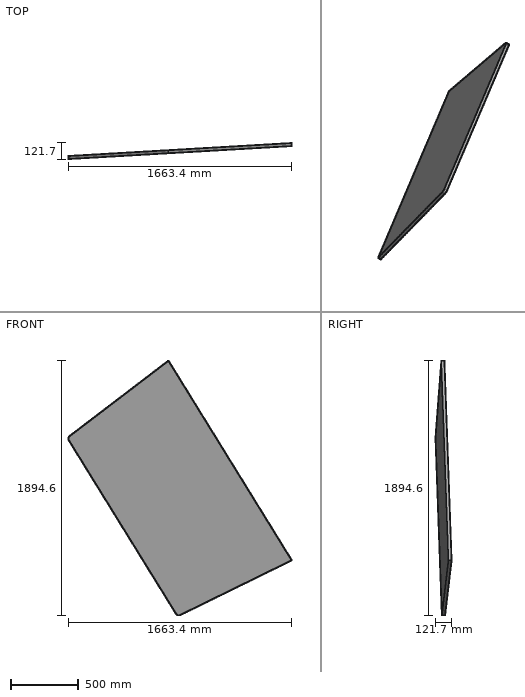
import cadquery as cq

thickness = 25.0
corner_radius = 25.0
turn_angle = 3.33

top_corner = (-87.0, 947.0)
right_corner = (832.0, -538.0)
bottom_corner = (-19.0, -955.0)
left_corner = (-841.0, 373.0)


def make_panel():
    """Extrude the outline evenly to both sides of the XZ plane."""
    outline = cq.Workplane("XZ").polyline([top_corner, right_corner, bottom_corner, left_corner]).close()
    return outline.extrude(thickness / 2, both=True)


def round_corner(panel, corner):
    """Round the thickness edge that passes through a sharp corner."""
    along, up = corner
    edge = cq.selectors.NearestToPointSelector((along, 0, up))
    return panel.edges("|Y").edges(edge).fillet(corner_radius)


panel = make_panel()
for rounded_corner in (bottom_corner, left_corner):
    panel = round_corner(panel, rounded_corner)

result = panel.rotate((0, 0, 0), (0, 0, 1), turn_angle)